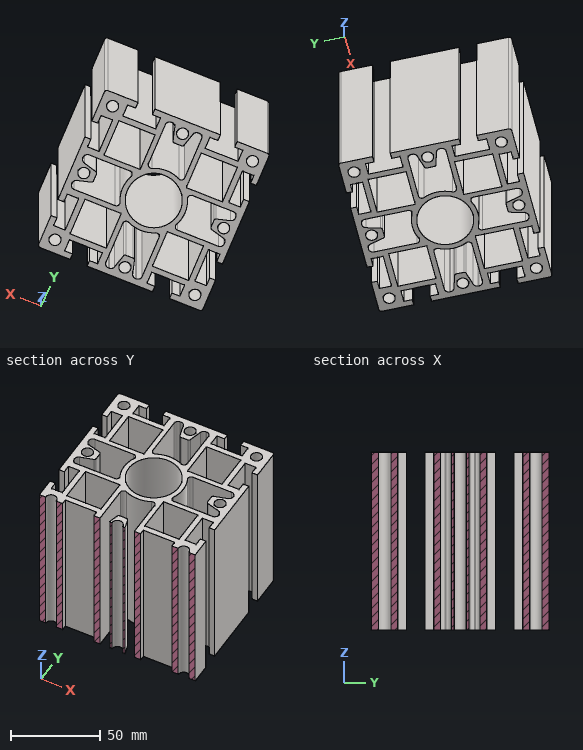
import cadquery as cq
import math

side = 100.0
half = side / 2
length = 100.0
outer_corner_radius = 1.6

slot_offset = 25.0
slot_mouth_width = 10.2
slot_inner_width = 20.0
slot_lip = 3.6
slot_depth = 10.6

pocket_side = 22.0

screw_bore_diameter = 6.7
screw_bore_inset = 7.5
screw_bore_position = half - screw_bore_inset

bore_diameter = 32.0
tube_diameter = 38.0

cavity_width = 22.0
cavity_skin = 3.7
lobe_radius = 2.5
tube_corner_radius = 2.0

tongue_tip_depth = 14.3
tongue_tip_width = 6.2
tongue_taper_angle = 15.5
tongue_tip_radius = 1.2


def around_z(shape):
    """Return the shape repeated at quarter turns about the Z axis."""
    turned = shape
    for angle in (90, 180, 270):
        turned = turned.union(shape.rotate((0, 0, 0), (0, 0, 1), angle))
    return turned


def face_slots():
    """Both T-slots of the +Y face."""
    mouth_centres = [(-slot_offset, half), (slot_offset, half)]
    mouths = (
        cq.Workplane("XY")
        .pushPoints(mouth_centres)
        .rect(slot_mouth_width, 2 * slot_depth)
        .extrude(length)
    )
    channel_height = slot_depth - slot_lip
    channel_y = half - slot_lip - channel_height / 2
    channel_centres = [(-slot_offset, channel_y), (slot_offset, channel_y)]
    channels = (
        cq.Workplane("XY")
        .pushPoints(channel_centres)
        .rect(slot_inner_width, channel_height)
        .extrude(length)
    )
    return mouths.union(channels)


def round_edge(solid, x, y, radius):
    """Fillet the vertical edge of the solid nearest to (x, y)."""
    nearest = cq.selectors.NearestToPointSelector((x, y, length / 2))
    return solid.edges("|Z").edges(nearest).fillet(radius)


def face_cavity():
    """Cavity behind the +Y face, bounded by the tube and notched by the tongue."""
    wall_x = cavity_width / 2
    top_y = half - cavity_skin
    tip_y = half - tongue_tip_depth
    tip_x = tongue_tip_width / 2
    root_x = tip_x + (top_y - tip_y) * math.tan(math.radians(tongue_taper_angle))
    tube_radius = tube_diameter / 2
    tube_y = math.sqrt(tube_radius**2 - wall_x**2)

    cavity = (
        cq.Workplane("XY")
        .moveTo(-wall_x, tube_y)
        .lineTo(-wall_x, top_y)
        .lineTo(-root_x, top_y)
        .lineTo(-tip_x, tip_y)
        .lineTo(tip_x, tip_y)
        .lineTo(root_x, top_y)
        .lineTo(wall_x, top_y)
        .lineTo(wall_x, tube_y)
        .threePointArc((0, tube_radius), (-wall_x, tube_y))
        .close()
        .extrude(length)
    )

    for sign in (-1, 1):
        cavity = round_edge(cavity, sign * wall_x, top_y, lobe_radius)
        cavity = round_edge(cavity, sign * root_x, top_y, lobe_radius)
        cavity = round_edge(cavity, sign * tip_x, tip_y, tongue_tip_radius)
        cavity = round_edge(cavity, sign * wall_x, tube_y, tube_corner_radius)
    return cavity


def square_pockets():
    """Four square pockets, in line with the T-slots."""
    pocket_spacing = 2 * slot_offset
    return (
        cq.Workplane("XY")
        .rarray(pocket_spacing, pocket_spacing, 2, 2)
        .rect(pocket_side, pocket_side)
        .extrude(length)
    )


def face_screw_bores():
    """Mid-face bore of the +Y face and the bore in its +X corner."""
    centres = [(0, screw_bore_position), (screw_bore_position, screw_bore_position)]
    return cq.Workplane("XY").pushPoints(centres).circle(screw_bore_diameter / 2).extrude(length)


body = cq.Workplane("XY").rect(side, side).extrude(length).edges("|Z").fillet(outer_corner_radius)
central_bore = cq.Workplane("XY").circle(bore_diameter / 2).extrude(length)

result = (
    body.cut(around_z(face_slots()))
    .cut(square_pockets())
    .cut(around_z(face_cavity()))
    .cut(around_z(face_screw_bores()))
    .cut(central_bore)
)